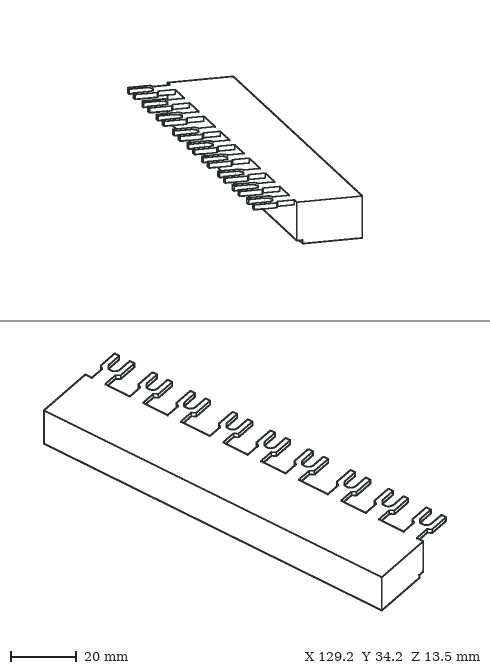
import cadquery as cq

length = 129.2
housing_depth = 21.0
height = 13.5
step_depth = 2.0
step_height = 1.2

fork_reach = 13.2
fork_thickness = 1.5
neck_width = 5.0
head_width = 7.6
head_length = 7.1
shoulder_length = 0.8
slot_width = 4.0
slot_depth = 7.0

group_count = 3
forks_per_group = 3
group_pitch = 45.1
fork_pitch = 14.5


def centred_positions(count, pitch):
    return [(i - (count - 1) / 2) * pitch for i in range(count)]


def make_housing():
    """Extrude the stepped side profile; the front face lies at Y = 0, the underside at Z = 0."""
    profile = [
        (step_depth, 0),
        (housing_depth, 0),
        (housing_depth, height),
        (0, height),
        (0, step_height),
        (step_depth, step_height),
    ]
    return cq.Workplane("YZ").polyline(profile).close().extrude(length / 2, both=True)


def make_fork(x_centre):
    """Neck, sloped shoulders and two tines around a round-ended open slot."""
    tip = -fork_reach
    shoulder_front = tip + head_length
    shoulder_back = shoulder_front + shoulder_length
    slot_radius = slot_width / 2
    slot_end = tip + slot_depth
    arc_start = slot_end - slot_radius
    return (
        cq.Workplane("XY", origin=(x_centre, 0, height - fork_thickness))
        .moveTo(-neck_width / 2, 0)
        .lineTo(-neck_width / 2, shoulder_back)
        .lineTo(-head_width / 2, shoulder_front)
        .lineTo(-head_width / 2, tip)
        .lineTo(-slot_radius, tip)
        .lineTo(-slot_radius, arc_start)
        .threePointArc((0, slot_end), (slot_radius, arc_start))
        .lineTo(slot_radius, tip)
        .lineTo(head_width / 2, tip)
        .lineTo(head_width / 2, shoulder_front)
        .lineTo(neck_width / 2, shoulder_back)
        .lineTo(neck_width / 2, 0)
        .close()
        .extrude(fork_thickness)
    )


result = make_housing()
for group_x in centred_positions(group_count, group_pitch):
    for fork_x in centred_positions(forks_per_group, fork_pitch):
        result = result.union(make_fork(group_x + fork_x))